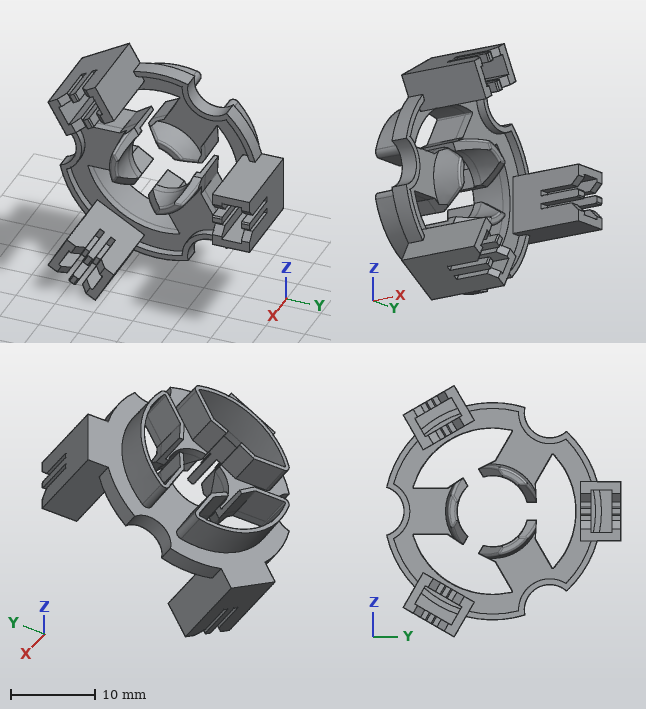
import math

import cadquery as cq

SECTORS = 3
SECTOR_ANGLE = 360 / SECTORS
ARM_ANGLE = math.radians(SECTOR_ANGLE / 2)

PLATE_RADIUS = 12.9
PLATE_THICKNESS = 2.1
FLOOR_THICKNESS = PLATE_THICKNESS / 2
RIM_WALL = 0.7
HUB_HOLE_RADIUS = 4.2
NOTCH_RADIUS = 3.0
NOTCH_CENTRE_RADIUS = 13.53

SKIRT_HEIGHT = 4.25
SKIRT_WALL = 0.68
DRAFT = 1.0
OPENING_RADIUS = 9.86
OPENING_ARM_OFFSET = 2.75
OPENING_KINK_REACH = 5.37
OPENING_APEX = 5.25
OPENING_CORNER_RADIUS = 0.1
SLOT_HALF_WIDTH = 1.05
SLOT_LENGTH = 5.7

PETAL_TOP_X = 4.6
PETAL_HEIGHT = PETAL_TOP_X - FLOOR_THICKNESS
PETAL_RADIUS = 5.6
PETAL_DRAFT = 5.0
PETAL_END_SLOPE = 30.0
PETAL_FILLET = 0.25

TAB_WIDTH = 7.0
TAB_OUTER = 15.2
TAB_INNER = 10.43
TAB_TOP_X = 10.65
TAB_OUTER_WALL = 1.05
TAB_INNER_WALL = 1.22
TAB_SIDE_WALL = 1.0
TAB_SLOT_DEPTH = 5.45
TONGUE_WIDTH = 0.97
TAB_SLOT_WIDTH = 0.64
TAB_LEAD_IN = 1.0
TONGUE_CHAMFER = 0.17


def yz_plane(x):
    """Workplane across the part axis at the given X, drawn in (Y, Z)."""
    return cq.Workplane("YZ").workplane(offset=x)


def around_axis(body):
    """Three copies of a body, spaced evenly around the X axis."""
    copies = body
    for index in range(1, SECTORS):
        copies = copies.union(body.rotate((0, 0, 0), (1, 0, 0), index * SECTOR_ANGLE))
    return copies


def beside_arm(reach, offset):
    """Point a distance along the neighbouring arm and an offset from it towards the lobe."""
    y = reach * math.cos(ARM_ANGLE) + offset * math.sin(ARM_ANGLE)
    z = reach * math.sin(ARM_ANGLE) - offset * math.cos(ARM_ANGLE)
    return y, z


def mirrored(point):
    return point[0], -point[1]


def lobe_outline(x):
    """Lobe opening: rim arc, two walls parallel to the arms, kinked towards the hub."""
    kink = beside_arm(OPENING_KINK_REACH, OPENING_ARM_OFFSET)

    centre_radius = OPENING_RADIUS - OPENING_CORNER_RADIUS
    centre_offset = OPENING_ARM_OFFSET + OPENING_CORNER_RADIUS
    centre_reach = math.sqrt(centre_radius**2 - centre_offset**2)
    centre = beside_arm(centre_reach, centre_offset)
    wall_end = beside_arm(centre_reach, OPENING_ARM_OFFSET)
    rim_direction = math.atan2(centre[1], centre[0])
    rim_end = (OPENING_RADIUS * math.cos(rim_direction), OPENING_RADIUS * math.sin(rim_direction))
    wall_direction = ARM_ANGLE + math.pi / 2
    middle_direction = (rim_direction + wall_direction) / 2
    corner = (
        centre[0] + OPENING_CORNER_RADIUS * math.cos(middle_direction),
        centre[1] + OPENING_CORNER_RADIUS * math.sin(middle_direction),
    )
    return (
        yz_plane(x)
        .moveTo(OPENING_APEX, 0)
        .lineTo(*mirrored(kink))
        .lineTo(*mirrored(wall_end))
        .threePointArc(mirrored(corner), mirrored(rim_end))
        .threePointArc((OPENING_RADIUS, 0), rim_end)
        .threePointArc(corner, wall_end)
        .lineTo(*kink)
        .close()
    )


def make_notches(radius, bottom_x):
    """Round scallops in the rim, one at the end of each arm."""
    notch = yz_plane(bottom_x).center(-NOTCH_CENTRE_RADIUS, 0).circle(radius)
    return around_axis(notch.extrude(PLATE_THICKNESS - bottom_x))


def make_plate():
    """Thin floor with a raised wall that follows the rim and its notches."""
    plate = yz_plane(0).circle(PLATE_RADIUS).extrude(PLATE_THICKNESS)
    recess = yz_plane(FLOOR_THICKNESS).circle(PLATE_RADIUS - RIM_WALL)
    recess = recess.extrude(PLATE_THICKNESS - FLOOR_THICKNESS)
    recess = recess.cut(make_notches(NOTCH_RADIUS + RIM_WALL, FLOOR_THICKNESS))
    return plate.cut(recess).cut(make_notches(NOTCH_RADIUS, 0))


def make_skirt():
    return lobe_outline(0).offset2D(SKIRT_WALL, "intersection").extrude(-SKIRT_HEIGHT, taper=DRAFT)


def make_opening():
    """Lobe opening: straight through the floor, widening towards the skirt edge."""
    through_floor = lobe_outline(0).extrude(FLOOR_THICKNESS)
    through_skirt = lobe_outline(0).extrude(-SKIRT_HEIGHT, taper=-DRAFT)
    return through_floor.union(through_skirt)


def make_hub_slot():
    """Slot from hub hole to lobe; above the floor its sides lean apart."""
    top_half_width = SLOT_HALF_WIDTH + PETAL_HEIGHT * math.tan(math.radians(PETAL_END_SLOPE))
    return (
        cq.Workplane("XZ")
        .moveTo(-SKIRT_HEIGHT, -SLOT_HALF_WIDTH)
        .lineTo(FLOOR_THICKNESS, -SLOT_HALF_WIDTH)
        .lineTo(PETAL_TOP_X, -top_half_width)
        .lineTo(PETAL_TOP_X, top_half_width)
        .lineTo(FLOOR_THICKNESS, SLOT_HALF_WIDTH)
        .lineTo(-SKIRT_HEIGHT, SLOT_HALF_WIDTH)
        .close()
        .extrude(-SLOT_LENGTH)
    )


def make_hub_hole():
    """Hole that is straight through the floor and flares slightly between the petals."""
    straight = yz_plane(0).circle(HUB_HOLE_RADIUS).extrude(FLOOR_THICKNESS)
    flared = yz_plane(FLOOR_THICKNESS).circle(HUB_HOLE_RADIUS).extrude(PETAL_HEIGHT, taper=-DRAFT)
    return straight.union(flared)


def make_petal():
    """Tapered ring segment on the floor of the arm towards -Y, with rounded outer edges."""
    ring = yz_plane(FLOOR_THICKNESS).circle(PETAL_RADIUS).extrude(PETAL_HEIGHT, taper=PETAL_DRAFT)
    segments = ring.cut(make_hub_hole()).cut(around_axis(make_hub_slot()))
    petal = cq.Workplane(segments.solids("<Y").val())
    top_edges = petal.faces(">X").edges()
    outer_edges = petal.faces("<Y").edges("not <X")
    petal = top_edges.add(outer_edges).fillet(PETAL_FILLET)
    return petal.cut(around_axis(lobe_outline(FLOOR_THICKNESS).extrude(PETAL_HEIGHT)))


def make_tab():
    """Block with an open pocket and a tongue between two slots at its free end."""
    depth = TAB_OUTER - TAB_INNER
    tab = cq.Workplane("XY").box(TAB_TOP_X, depth, TAB_WIDTH, centered=(False, False, True))
    tab = tab.translate((0, TAB_INNER, 0))

    pocket = cq.Workplane("XY").box(
        TAB_TOP_X - FLOOR_THICKNESS,
        depth - TAB_INNER_WALL - TAB_OUTER_WALL,
        TAB_WIDTH - 2 * TAB_SIDE_WALL,
        centered=(False, False, True),
    )
    tab = tab.cut(pocket.translate((FLOOR_THICKNESS, TAB_INNER + TAB_INNER_WALL, 0)))

    slot_floor_x = TAB_TOP_X - TAB_SLOT_DEPTH
    tongue_side = TONGUE_WIDTH / 2
    slot_side = tongue_side + TAB_SLOT_WIDTH
    for side in (1, -1):
        slot = (
            cq.Workplane("XZ")
            .moveTo(slot_floor_x, side * tongue_side)
            .lineTo(TAB_TOP_X - TONGUE_CHAMFER, side * tongue_side)
            .lineTo(TAB_TOP_X, side * (tongue_side - TONGUE_CHAMFER))
            .lineTo(TAB_TOP_X, side * (slot_side + TAB_LEAD_IN))
            .lineTo(TAB_TOP_X - TAB_LEAD_IN, side * slot_side)
            .lineTo(slot_floor_x, side * slot_side)
            .close()
            .extrude(-TAB_OUTER)
        )
        tab = tab.cut(slot)
    return tab


body = make_plate().union(around_axis(make_skirt()))
body = body.cut(make_hub_hole())
body = body.cut(around_axis(make_opening()))
body = body.cut(around_axis(make_hub_slot()))
result = body.union(around_axis(make_petal())).union(around_axis(make_tab()))